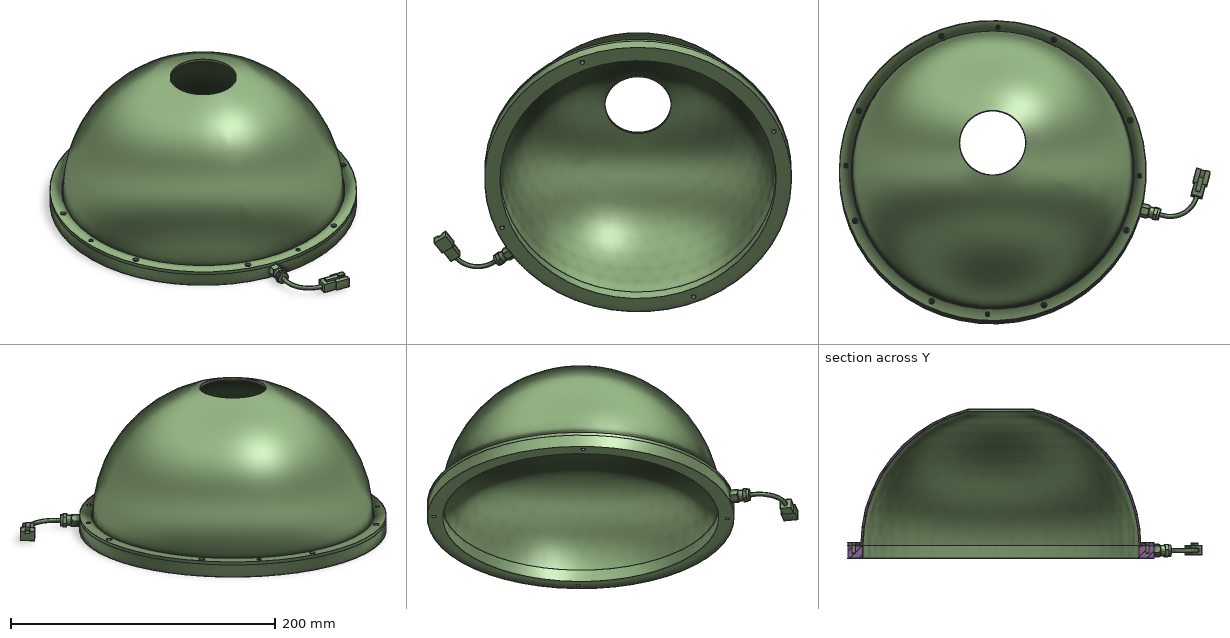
import cadquery as cq
import math

RING_RADIUS = 115.97
RING_HEIGHT = 12.0
COVER_THICKNESS = 2.5
DOME_RADIUS = 106.2
DOME_WALL = 2.0
DOME_GAP = 0.8
VIEW_HOLE_RADIUS = 25.0

BASE_HEIGHT = RING_HEIGHT - COVER_THICKNESS
DOME_INNER_RADIUS = DOME_RADIUS - DOME_WALL

SCREW_COUNT = 8
HOLE_CIRCLE_RADIUS = 111.0
SCREW_HOLE_DIAMETER = 2.1
SCREW_HEAD_DIAMETER = 4.3
SCREW_HOLE_DEPTH = 8.0
COUNTERSINK_ANGLE = 90
MOUNT_COUNT = 4
MOUNT_START_ANGLE = 22.5
MOUNT_HOLE_DIAMETER = 3.2

GLAND_ANGLE = 10
GLAND_HEIGHT = 6.0
HEX_SIDES = 6
HEX_CORNER_RADIUS = 5.0
HEX_CHAMFER_LENGTH = 1.3
HEX_CHAMFER_DEPTH = 0.8
HEX_START = 115.3
HEX_END = 122.3
BODY_HEX_TURN = 15
NUT_HEX_TURN = -10
COLLAR_RADIUS = 4.0
NUT_START = 125.8
NUT_HEX_END = 128.5
NUT_END = 130.3
NUT_CAP_RADIUS = 4.3

CABLE_RADIUS = 1.5
CABLE_LEAD = 3.2
CABLE_BEND_RADIUS = 20.5

PLUG_WIDTH = 8.3
PLUG_LENGTH = 10.0
SOCKET_WIDTH = 10.7
SOCKET_LENGTH = 10.7
CONNECTOR_BOTTOM = 2.7
CONNECTOR_TOP = 10.0
LATCH_WIDTH = 3.5
LATCH_START = 3.2
LATCH_LENGTH = 11.0
LATCH_TOP = 11.5
LATCH_FLOOR = 8.3

CONNECTOR_X = NUT_END + CABLE_LEAD + CABLE_BEND_RADIUS
PLUG_START = CABLE_BEND_RADIUS
SOCKET_START = PLUG_START + PLUG_LENGTH


def screw_cutter():
    """Blind screw hole with a conical countersink, standing on the Z axis."""
    pilot_radius = SCREW_HOLE_DIAMETER / 2
    head_radius = SCREW_HEAD_DIAMETER / 2
    sink_depth = (head_radius - pilot_radius) / math.tan(math.radians(COUNTERSINK_ANGLE / 2))
    return (
        cq.Workplane("XZ")
        .moveTo(0, RING_HEIGHT)
        .lineTo(head_radius, RING_HEIGHT)
        .lineTo(pilot_radius, RING_HEIGHT - sink_depth)
        .lineTo(pilot_radius, RING_HEIGHT - SCREW_HOLE_DEPTH)
        .lineTo(0, RING_HEIGHT - SCREW_HOLE_DEPTH)
        .close()
        .revolve(360, (0, 0, 0), (0, 1, 0))
    )


def drill_ring(body):
    """Cut the countersunk screw holes and the through mounting holes."""
    holes = (
        cq.Workplane("XY")
        .polarArray(HOLE_CIRCLE_RADIUS, MOUNT_START_ANGLE, 360, MOUNT_COUNT)
        .circle(MOUNT_HOLE_DIAMETER / 2)
        .extrude(RING_HEIGHT)
    )
    body = body.cut(holes)
    for i in range(SCREW_COUNT):
        cutter = screw_cutter().translate((HOLE_CIRCLE_RADIUS, 0, 0))
        body = body.cut(cutter.rotate((0, 0, 0), (0, 0, 1), i * 360 / SCREW_COUNT))
    return body


def make_base_ring():
    ring = cq.Workplane("XY").circle(RING_RADIUS).circle(DOME_INNER_RADIUS).extrude(BASE_HEIGHT)
    return drill_ring(ring)


def make_cover_plate():
    plate = (
        cq.Workplane("XY", origin=(0, 0, BASE_HEIGHT))
        .circle(RING_RADIUS)
        .circle(DOME_RADIUS + DOME_GAP)
        .extrude(COVER_THICKNESS)
    )
    return drill_ring(plate)


def make_dome():
    """Hemispherical shell standing on the base ring, with a round hole at the top."""
    hole_z = math.sqrt(DOME_INNER_RADIUS**2 - VIEW_HOLE_RADIUS**2)
    top_z = math.sqrt(DOME_RADIUS**2 - VIEW_HOLE_RADIUS**2)
    diagonal = math.sqrt(0.5)
    return (
        cq.Workplane("XZ", origin=(0, 0, BASE_HEIGHT))
        .moveTo(DOME_INNER_RADIUS, 0)
        .lineTo(DOME_RADIUS, 0)
        .threePointArc((DOME_RADIUS * diagonal, DOME_RADIUS * diagonal), (VIEW_HOLE_RADIUS, top_z))
        .lineTo(VIEW_HOLE_RADIUS, hole_z)
        .threePointArc(
            (DOME_INNER_RADIUS * diagonal, DOME_INNER_RADIUS * diagonal), (DOME_INNER_RADIUS, 0)
        )
        .close()
        .revolve(360, (0, 0, 0), (0, 1, 0))
    )


def gland_circle(start, radius):
    """Circle about the gland axis, facing +X."""
    return cq.Workplane("YZ", origin=(start, 0, GLAND_HEIGHT)).circle(radius)


def gland_hexagon(start, end, turn):
    """Hexagonal prism along +X on the gland axis."""
    return (
        cq.Workplane("YZ", origin=(start, 0, GLAND_HEIGHT))
        .polygon(HEX_SIDES, 2 * HEX_CORNER_RADIUS)
        .extrude(end - start)
        .rotate((0, 0, GLAND_HEIGHT), (1, 0, GLAND_HEIGHT), turn)
    )


def chamfer_outer_corners(hexagon):
    """Turn a conical chamfer on the corners at the +X end of the gland body's hexagon."""
    turned = (
        gland_circle(HEX_START, HEX_CORNER_RADIUS)
        .extrude(HEX_END - HEX_START)
        .faces(">X")
        .chamfer(HEX_CHAMFER_LENGTH, HEX_CHAMFER_DEPTH)
    )
    return hexagon.intersect(turned)


def place_on_ring(body):
    return body.rotate((0, 0, 0), (0, 0, 1), GLAND_ANGLE)


def make_gland_body():
    """Hexagon seated on the round ring, with a collar that carries the nut."""
    ring_space = cq.Workplane("XY").circle(RING_RADIUS).extrude(RING_HEIGHT)
    hexagon = chamfer_outer_corners(gland_hexagon(HEX_START, HEX_END, BODY_HEX_TURN))
    collar = gland_circle(HEX_END, COLLAR_RADIUS).extrude(NUT_START - HEX_END)
    return place_on_ring(hexagon.cut(ring_space).union(collar))


def make_gland_nut():
    """Hexagon nut with a round cap at the cable end."""
    hexagon = gland_hexagon(NUT_START, NUT_HEX_END, NUT_HEX_TURN)
    cap = gland_circle(NUT_HEX_END, NUT_CAP_RADIUS).extrude(NUT_END - NUT_HEX_END)
    return place_on_ring(hexagon.union(cap))


def make_cable():
    """Round cable that leaves the nut along +X and bends round to +Y."""
    bend_start = NUT_END + CABLE_LEAD
    diagonal = CABLE_BEND_RADIUS * math.sqrt(0.5)
    path = (
        cq.Workplane("XY", origin=(0, 0, GLAND_HEIGHT))
        .moveTo(NUT_END, 0)
        .lineTo(bend_start, 0)
        .threePointArc(
            (bend_start + diagonal, CABLE_BEND_RADIUS - diagonal), (CONNECTOR_X, CABLE_BEND_RADIUS)
        )
    )
    return place_on_ring(gland_circle(NUT_END, CABLE_RADIUS).sweep(path))


def connector_block(width, start, length, bottom, top):
    """Box along +Y, centred on the cable end."""
    return (
        cq.Workplane("XY", origin=(CONNECTOR_X, start, bottom))
        .box(width, length, top - bottom, centered=(True, False, False))
    )


def make_plug():
    body = connector_block(PLUG_WIDTH, PLUG_START, PLUG_LENGTH, CONNECTOR_BOTTOM, CONNECTOR_TOP)
    latch = connector_block(
        LATCH_WIDTH, PLUG_START + LATCH_START, LATCH_LENGTH, LATCH_FLOOR, LATCH_TOP
    )
    return place_on_ring(body.union(latch))


def make_socket():
    body = connector_block(
        SOCKET_WIDTH, SOCKET_START, SOCKET_LENGTH, CONNECTOR_BOTTOM, CONNECTOR_TOP
    )
    channel = connector_block(LATCH_WIDTH, SOCKET_START, SOCKET_LENGTH, LATCH_FLOOR, CONNECTOR_TOP)
    return place_on_ring(body.cut(channel))


base_ring = make_base_ring()
cover_plate = make_cover_plate()
dome = make_dome()
gland_body = make_gland_body()
gland_nut = make_gland_nut()
cable = make_cable()
plug = make_plug()
socket = make_socket()

result = cq.Compound.makeCompound([
    base_ring.val(),
    cover_plate.val(),
    dome.val(),
    gland_body.val(),
    gland_nut.val(),
    cable.val(),
    plug.val(),
    socket.val(),
])